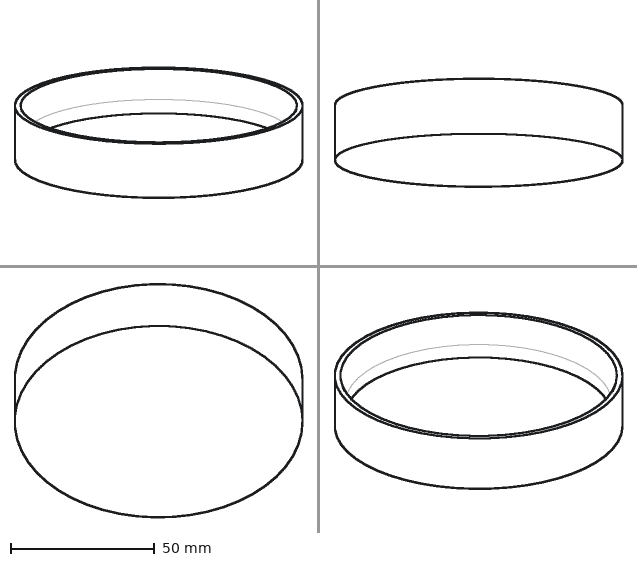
import cadquery as cq
import math

outer_diameter = 100.0
height = 19.5
floor_diameter = 92.4
rim_width = 2.0
floor_thickness = 4.0
straight_wall_height = 5.0

outer_radius = outer_diameter / 2
floor_radius = floor_diameter / 2
rim_radius = outer_radius - rim_width
flare_start = floor_thickness + straight_wall_height

flare_height = height - flare_start
flare_width = rim_radius - floor_radius
flare_arc_radius = (flare_height**2 + flare_width**2) / (2 * flare_width)
half_angle = math.asin(flare_height / flare_arc_radius) / 2
flare_middle = (
    floor_radius + flare_arc_radius * (1 - math.cos(half_angle)),
    flare_start + flare_arc_radius * math.sin(half_angle),
)

section = (
    cq.Workplane("XZ")
    .lineTo(outer_radius, 0)
    .lineTo(outer_radius, height)
    .lineTo(rim_radius, height)
    .threePointArc(flare_middle, (floor_radius, flare_start))
    .lineTo(floor_radius, floor_thickness)
    .lineTo(0, floor_thickness)
    .close()
)
result = section.revolve(360, (0, 0, 0), (0, 1, 0))